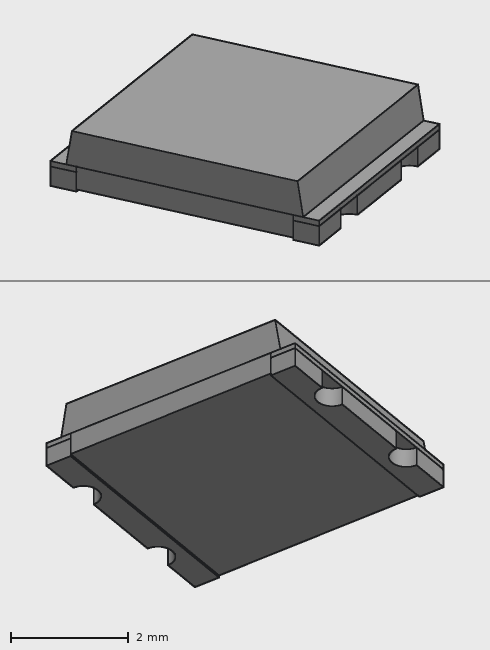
import cadquery as cq

length = 5.15
width = 4.39
height = 1.12

cover_height = 0.65
cover_base_length = 4.54
cover_top_length = 4.325

terminal_length = 0.5
strip_thickness = 0.105
board_clearance = 0.04

notch_radius = 0.3
notch_offset = width / 4

board_top = height - cover_height
strip_bottom = board_top - strip_thickness
board_length = length - 2 * terminal_length
terminal_center = (length - terminal_length) / 2


def block(size_x, bottom, top, center_x=0.0):
    """Full-width block between two heights, centred on center_x."""
    return (
        cq.Workplane("XY", origin=(center_x, 0, bottom))
        .rect(size_x, width)
        .extrude(top - bottom)
    )


def make_cover():
    """Cover with sloping ends and upright long sides."""
    return (
        cq.Workplane("XZ", origin=(0, width / 2, 0))
        .moveTo(-cover_base_length / 2, board_top)
        .lineTo(cover_base_length / 2, board_top)
        .lineTo(cover_top_length / 2, height)
        .lineTo(-cover_top_length / 2, height)
        .close()
        .extrude(width)
    )


def make_board():
    """Plain board filling the space between the two ends."""
    return block(board_length, board_clearance, board_top)


def make_strip(side):
    """Thin strip lying on one terminal; side is -1 or +1 along X."""
    return block(terminal_length, strip_bottom, board_top, side * terminal_center)


def make_terminal(side):
    """End terminal with two half-round notches in its outer face."""
    terminal = block(terminal_length, 0, strip_bottom, side * terminal_center)
    notches = (
        cq.Workplane("XY")
        .pushPoints([(side * length / 2, -notch_offset), (side * length / 2, notch_offset)])
        .circle(notch_radius)
        .extrude(strip_bottom)
    )
    return terminal.cut(notches)


cover = make_cover()
board = make_board()
sides = (-1, 1)
strips = [make_strip(side).val() for side in sides]
terminals = [make_terminal(side).val() for side in sides]

result = cq.Compound.makeCompound([cover.val(), board.val(), *strips, *terminals])